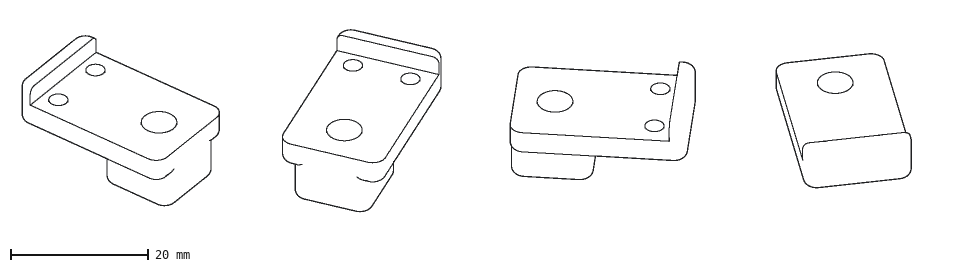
import cadquery as cq

length = 26.0
width = 16.0
total_height = 13.0

plate_thickness = 4.0
lip_height = 3.0
lip_thickness = 2.5

boss_side = 12.0
boss_height = total_height - plate_thickness - lip_height
boss_center_x = length - boss_side / 2

corner_radius = 2.0
edge_radius = 1.0

main_hole_diameter = 5.2
small_hole_diameter = 2.8
small_hole_x = 5.0
small_hole_spacing = 9.0


def rounded_block(size_x, size_y, bottom_z, top_z, center_x):
    """Block with rounded vertical corners, centered on y = 0."""
    return (
        cq.Workplane("XY", origin=(center_x, 0, bottom_z))
        .rect(size_x, size_y)
        .extrude(top_z - bottom_z)
        .edges("|Z")
        .fillet(corner_radius)
    )


def through_hole(diameter, x, y):
    """Vertical cutter spanning the full height of the part."""
    return (
        cq.Workplane("XY", origin=(x, y, -boss_height))
        .circle(diameter / 2)
        .extrude(total_height)
    )


body = rounded_block(length, width, 0, plate_thickness + lip_height, length / 2)
body = body.faces("<Z or >Z").edges().fillet(edge_radius)
clearance = cq.Workplane("XY", origin=(lip_thickness, 0, plate_thickness)).box(
    length, width, lip_height, centered=(False, True, False)
)
body = body.cut(clearance)

boss = rounded_block(boss_side, boss_side, -boss_height, plate_thickness, boss_center_x)
boss = boss.faces("<Z").edges().fillet(edge_radius)
body = body.union(boss)

body = body.cut(through_hole(main_hole_diameter, boss_center_x, 0))
for side in (-1, 1):
    body = body.cut(through_hole(small_hole_diameter, small_hole_x, side * small_hole_spacing / 2))

result = body.clean()